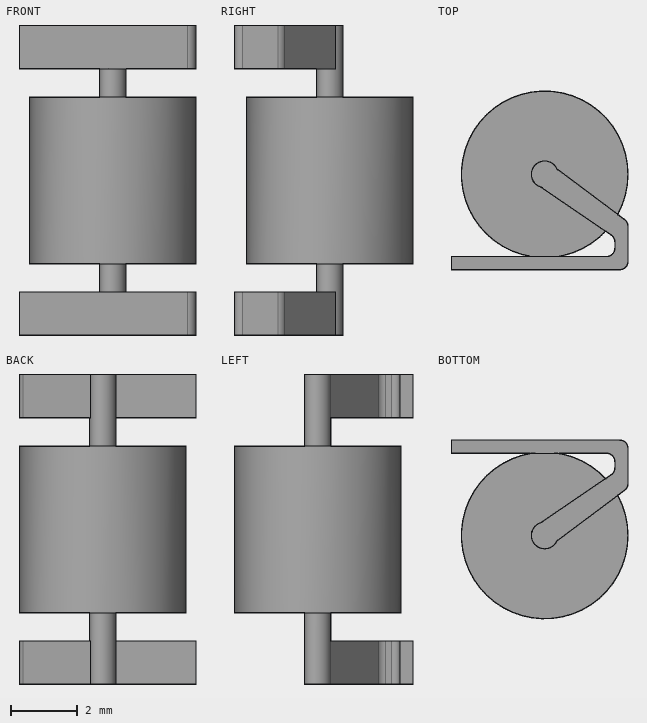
import cadquery as cq
import math

total_height = 9.3
drum_diameter = 5.0
drum_height = 5.0
drum_radius = drum_diameter / 2

pin_radius = 0.4
strip_thickness = 0.4
strip_width = 1.3
bend_radius = 0.25
foot_length = 5.3
foot_bottom = -2.86
arm_outer_corner_y = -1.43
arm_inner_corner_y = -1.9
arm_outer_start_y = 0.17
arm_inner_start_y = -0.38

foot_top = foot_bottom + strip_thickness
upright_outer_x = drum_radius
upright_inner_x = upright_outer_x - strip_thickness
foot_end_x = upright_outer_x - foot_length


def pin_edge_x(y):
    """Distance from the pin axis to its surface along X, at the given Y."""
    return math.sqrt(pin_radius**2 - y**2)


def centred_cylinder(radius, height):
    return cq.Workplane("XY").workplane(offset=-height / 2).circle(radius).extrude(height)


def make_drum():
    """Cylindrical drum with a through hole for the lead."""
    return centred_cylinder(drum_radius, drum_height).cut(centred_cylinder(pin_radius, drum_height))


def make_clip(bottom_z):
    """Bent strip: arm from the pin, upright, and flat foot."""
    outline = [
        (pin_edge_x(arm_outer_start_y), arm_outer_start_y),
        (upright_outer_x, arm_outer_corner_y),
        (upright_outer_x, foot_bottom),
        (foot_end_x, foot_bottom),
        (foot_end_x, foot_top),
        (upright_inner_x, foot_top),
        (upright_inner_x, arm_inner_corner_y),
        (-pin_edge_x(arm_inner_start_y), arm_inner_start_y),
    ]
    strip = cq.Workplane("XY").workplane(offset=bottom_z).polyline(outline).close().extrude(strip_width)
    upright_region = cq.selectors.BoxSelector(
        (upright_inner_x - strip_thickness / 2, foot_bottom - strip_thickness, bottom_z),
        (upright_outer_x + strip_thickness / 2, 0, bottom_z + strip_width),
    )
    return strip.edges("|Z").edges(upright_region).fillet(bend_radius)


def make_lead():
    """Pin through the drum, in one piece with the clips at both ends."""
    lead = centred_cylinder(pin_radius, total_height)
    for bottom_z in (-total_height / 2, total_height / 2 - strip_width):
        lead = lead.union(make_clip(bottom_z))
    return lead


drum = make_drum()
lead = make_lead()

result = cq.Compound.makeCompound([drum.val(), *lead.vals()])